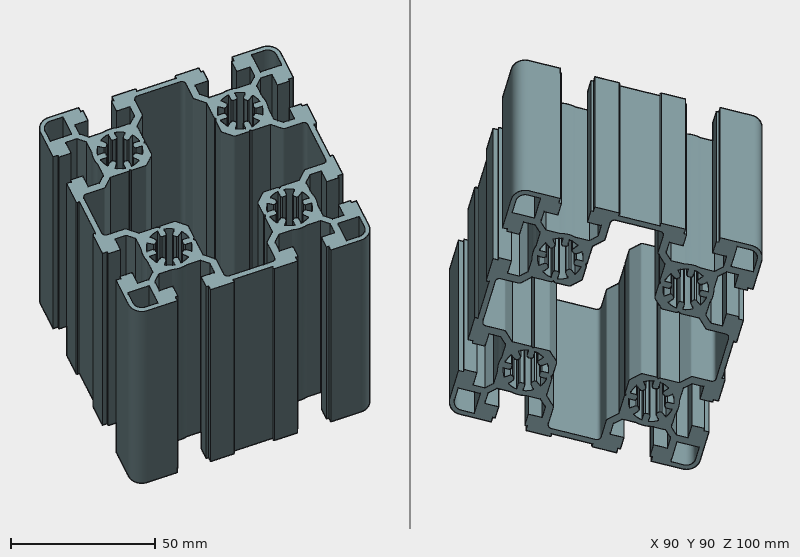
import cadquery as cq

side = 90.0
length = 100.0
corner_radius = 5.0
half_side = side / 2
core_offset = side / 4

mouth_half = 6.2
mouth_depth = 1.8
lip_half = 5.3
lip_depth = 6.4
pocket_half = 10.3
pocket_depth = 13.1
pocket_chamfer = 2.5
bump_radius = 9.8

cavity_wall = 1.7
cavity_end = 9.7

relief_half = 7.6
relief_floor_half = 7.5
relief_depth = 1.1
relief_lip_half = 7.2
relief_lip_depth = 0.4

face_wall = 3.1
arm_half = 9.5
arm_fillet = 1.5
core_half = 9.5
core_inner = core_offset - core_half
core_chamfer = 3.5
core_groove_half = 0.5
core_groove_depth = 0.5
void_edge_fillet = 1.0
narrow_depth = 11.5
narrow_y = half_side - narrow_depth

bore_radius = 7.9
tooth_tip_radius = 5.0
tooth_root_radius = 8.5
tooth_tip_chamfer = 0.5
straight_tooth_width = 2.3
diagonal_tip_width = 2.2
diagonal_root_width = 3.0


def prism(points):
    return cq.Workplane("XY").polyline(points).close().extrude(length)


def mirrored(right_half):
    """Complete a left-right symmetric outline from its right half."""
    return right_half + [(-x, y) for x, y in reversed(right_half)]


def on_four_sides(cutter):
    """Copies of a cutter turned onto the four faces of the profile."""
    return [cutter.rotate((0, 0, 0), (0, 0, 1), 90 * turn) for turn in range(4)]


def slot():
    """T-slot opening toward +Y, centred on X = 0."""
    lip_y = half_side - lip_depth
    mouth_y = half_side - mouth_depth
    floor_y = half_side - pocket_depth
    pocket = prism(mirrored([
        (mouth_half, half_side),
        (mouth_half, mouth_y),
        (lip_half, mouth_y),
        (lip_half, lip_y),
        (pocket_half, lip_y),
        (pocket_half, floor_y + pocket_chamfer),
        (pocket_half - pocket_chamfer, floor_y),
    ]))
    bump = cq.Workplane("XY").center(0, core_offset).circle(bump_radius).extrude(length)
    return pocket.cut(bump)


def face_relief():
    """Shallow channel along the middle of the +Y face, edged by small pointed lips."""
    return prism(mirrored([
        (relief_half, half_side),
        (relief_lip_half, half_side - relief_lip_depth),
        (relief_floor_half, half_side - relief_depth),
    ]))


def corner_cavity():
    """Hollow in the (+X, +Y) corner, rounded to follow the outer corner."""
    size = cavity_end - cavity_wall
    centre = half_side - (cavity_wall + cavity_end) / 2
    return (
        cq.Workplane("XY")
        .center(centre, centre)
        .rect(size, size)
        .extrude(length)
        .edges("|Z and >X and >Y")
        .fillet(corner_radius - cavity_wall)
    )


def core_groove(side_sign):
    """V-groove in the inner face of the block on the +X or -X side of the +Y arm."""
    apex = core_inner + core_groove_depth
    return prism([
        (side_sign * core_inner, core_offset - core_groove_half),
        (side_sign * apex, core_offset),
        (side_sign * core_inner, core_offset + core_groove_half),
    ])


def void_arm():
    """Arm of the central void toward +Y, from the profile's centre to the face wall."""
    chamfer_end = core_inner + core_chamfer
    arm = prism(mirrored([
        (arm_half, half_side - face_wall),
        (arm_half, narrow_y),
        (core_inner, narrow_y - (core_inner - arm_half)),
        (core_inner, chamfer_end),
        (chamfer_end, core_inner),
        (core_offset, core_inner),
        (core_offset, 0),
    ]))
    arm = arm.edges("|Z and >Y").fillet(arm_fillet)
    for side_sign in (-1, 1):
        for x, y in [(arm_half, narrow_y), (core_inner, chamfer_end), (chamfer_end, core_inner)]:
            edge = cq.selectors.NearestToPointSelector((side_sign * x, y, length / 2))
            arm = arm.edges(edge).fillet(void_edge_fillet)
        arm = arm.union(core_groove(side_sign))
    return arm


def tooth(tip_width, root_width):
    """Bore tooth lying along +Y, with a chamfered tip."""
    tip_half = tip_width / 2
    return prism(mirrored([
        (root_width / 2, tooth_root_radius),
        (tip_half, tooth_tip_radius + tooth_tip_chamfer),
        (tip_half - tooth_tip_chamfer, tooth_tip_radius),
    ]))


def bore():
    """Toothed bore of one screw core, centred on the origin."""
    hole = cq.Workplane("XY").circle(bore_radius).extrude(length)
    straight_tooth = tooth(straight_tooth_width, straight_tooth_width)
    diagonal_tooth = tooth(diagonal_tip_width, diagonal_root_width).rotate((0, 0, 0), (0, 0, 1), 45)
    for placed_tooth in on_four_sides(straight_tooth) + on_four_sides(diagonal_tooth):
        hole = hole.cut(placed_tooth)
    return hole


result = (
    cq.Workplane("XY")
    .rect(side, side)
    .extrude(length)
    .edges("|Z")
    .fillet(corner_radius)
)

cutters = [
    slot().translate((core_offset, 0, 0)),
    slot().translate((-core_offset, 0, 0)),
    face_relief(),
    corner_cavity(),
    void_arm(),
    bore().translate((core_offset, core_offset, 0)),
]
for cutter in cutters:
    for placed_cutter in on_four_sides(cutter):
        result = result.cut(placed_cutter)